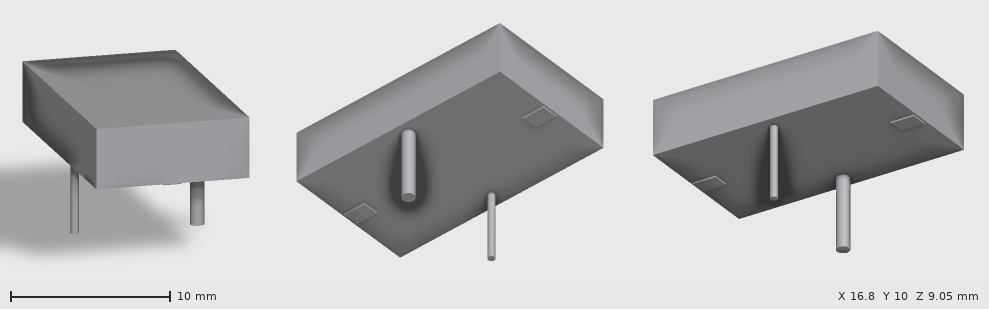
import cadquery as cq

HOUSING_LENGTH = 16.8
HOUSING_WIDTH = 10.0
HOUSING_HEIGHT = 3.93

OVERALL_HEIGHT = 9.05
PIN_LENGTH = OVERALL_HEIGHT - HOUSING_HEIGHT
PIN_OFFSET = 4.0
THICK_PIN_DIAMETER = 0.9
THIN_PIN_DIAMETER = 0.5

PAD_LENGTH = 1.7
PAD_WIDTH = 1.21
PAD_THICKNESS = 0.1
PAD_END_INSET = 0.15
PAD_OFFSET = HOUSING_LENGTH / 2 - PAD_END_INSET - PAD_LENGTH / 2


def make_housing():
    """Plain rectangular block standing on Z = 0."""
    return cq.Workplane("XY").box(
        HOUSING_LENGTH, HOUSING_WIDTH, HOUSING_HEIGHT, centered=(True, True, False)
    )


def make_pin(diameter, y):
    """Round pin hanging from the housing underside."""
    return cq.Workplane("XY").center(0, y).circle(diameter / 2).extrude(-PIN_LENGTH)


def make_pad(x):
    """Thin rectangular pad against the housing underside."""
    return cq.Workplane("XY").center(x, 0).rect(PAD_LENGTH, PAD_WIDTH).extrude(-PAD_THICKNESS)


housing = make_housing()
thick_pin = make_pin(THICK_PIN_DIAMETER, PIN_OFFSET)
thin_pin = make_pin(THIN_PIN_DIAMETER, -PIN_OFFSET)
pads = [make_pad(side * PAD_OFFSET) for side in (-1, 1)]

result = cq.Compound.makeCompound(
    [housing.val(), thick_pin.val(), thin_pin.val(), *[pad.val() for pad in pads]]
)